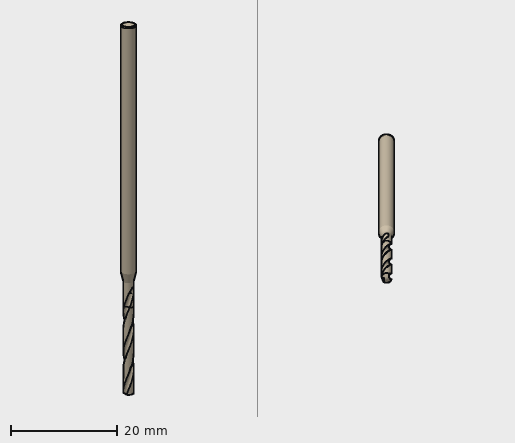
import cadquery as cq
import math

overall_length = 75.0
shank_diameter = 3.0
shank_length = 50.0
shank_chamfer = 0.25
cone_length = 2.0
drill_diameter = 2.0
drill_length = 18.0
point_angle = 140.0

flute_count = 2
flute_pitch = 16.1
flute_width_angle = 72.0
web_radius = 0.5
flute_end_z = 20.7
runout_length = 1.7
flute_start_z = -1.0
flute_angle_at_point = 270.0

shank_radius = shank_diameter / 2
drill_radius = drill_diameter / 2
point_height = drill_radius / math.tan(math.radians(point_angle / 2))
cone_top_z = overall_length - shank_length
cone_bottom_z = cone_top_z - cone_length

half_width_angle = math.radians(flute_width_angle / 2)
flute_half_chord = drill_radius * math.sin(half_width_angle)
flute_sagitta = drill_radius * math.cos(half_width_angle) - web_radius
flute_radius = (flute_half_chord**2 + flute_sagitta**2) / (2 * flute_sagitta)
flute_center_radius = web_radius + flute_radius


def make_shank():
    """Chamfered shank, cone and round neck, revolved as one blank."""
    return (
        cq.Workplane("YZ")
        .moveTo(0, drill_length)
        .lineTo(-drill_radius, drill_length)
        .lineTo(-drill_radius, cone_bottom_z)
        .lineTo(-shank_radius, cone_top_z)
        .lineTo(-shank_radius, overall_length - shank_chamfer)
        .lineTo(-shank_radius + shank_chamfer, overall_length)
        .lineTo(0, overall_length)
        .close()
        .revolve(360, (0, 0, 0), (0, 1, 0))
    )


def make_drill():
    """Cylindrical blank of the cutting end with its conical point."""
    return (
        cq.Workplane("XZ")
        .moveTo(0, 0)
        .lineTo(-drill_radius, point_height)
        .lineTo(-drill_radius, drill_length)
        .lineTo(0, drill_length)
        .close()
        .revolve(360, (0, 0, 0), (0, 1, 0))
    )


def flute_angle(z):
    """Direction of the first flute about Z, in degrees, at height z."""
    return flute_angle_at_point + 360 * z / flute_pitch


def make_helical_cutter(start_angle):
    """Right-hand helical flute from below the point up to the run-out."""
    length = flute_end_z - flute_start_z
    return (
        cq.Workplane("XY")
        .moveTo(flute_center_radius, 0)
        .circle(flute_radius)
        .twistExtrude(length, 360 * length / flute_pitch)
        .rotate((0, 0, 0), (0, 0, 1), start_angle)
        .translate((0, 0, flute_start_z))
    )


def make_runout_cutter(start_angle):
    """Straight continuation of the flute that climbs out through the neck surface."""
    tangential_run = runout_length * 2 * math.pi * flute_center_radius / flute_pitch
    radial_run = drill_radius - web_radius
    section = cq.Wire.makeCircle(flute_radius, cq.Vector(flute_center_radius, 0, 0), cq.Vector(0, 0, 1))
    runout = cq.Solid.extrudeLinear(section, [], cq.Vector(radial_run, tangential_run, runout_length))
    return (
        cq.Workplane(obj=runout)
        .rotate((0, 0, 0), (0, 0, 1), start_angle)
        .translate((0, 0, flute_end_z))
    )


shank = make_shank()
drill = make_drill()
for index in range(flute_count):
    index_angle = 360 * index / flute_count
    helix = make_helical_cutter(flute_angle(flute_start_z) + index_angle)
    drill = drill.cut(helix)
    shank = shank.cut(helix)
    shank = shank.cut(make_runout_cutter(flute_angle(flute_end_z) + index_angle))

result = cq.Compound.makeCompound([shank.solids().val(), drill.solids().val()])